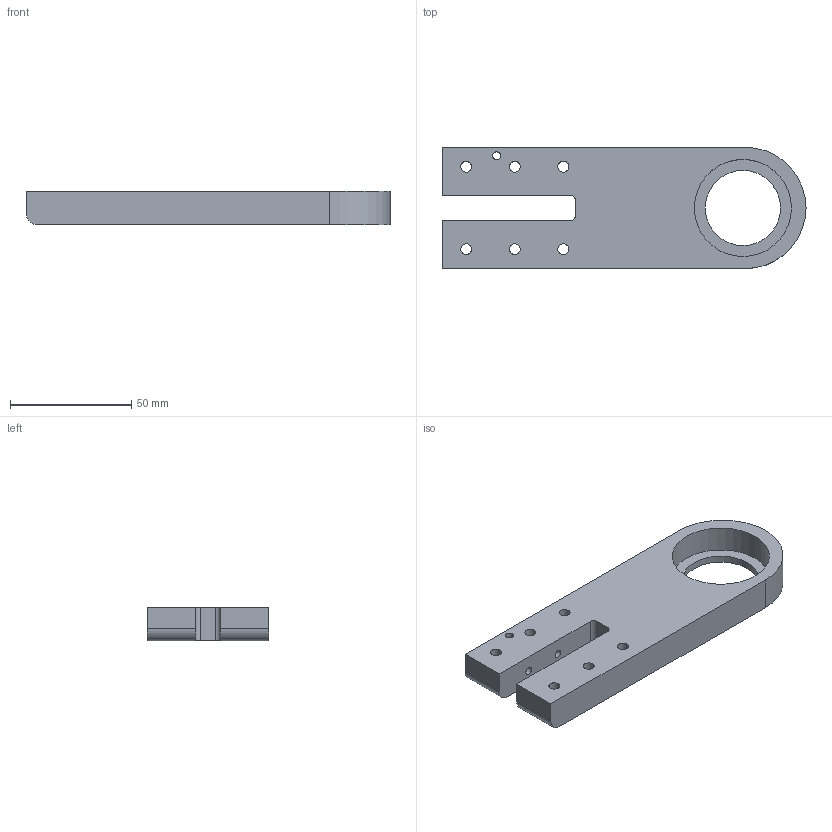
import cadquery as cq

length = 150.0
width = 50.0
thickness = 14.0
end_radius = width / 2
end_center_x = length - end_radius
bottom_edge_radius = 5.0

slot_length = 55.0
slot_width = 10.2
slot_corner_radius = 2.0

seat_center_x = 124.0
seat_diameter = 40.0
seat_bore_diameter = 31.0
seat_floor = 3.0

mount_diameter = 4.5
mount_first_x = 10.0
mount_pitch = 20.0
mount_columns = 3
mount_offset_y = 17.0

pin_diameter = 3.3
pin_x = 22.5
pin_y = 21.5

cross_diameter = 3.3
cross_positions_x = (17.2, 34.2)
cross_z = thickness / 2


def make_plate():
    outline = (
        cq.Workplane("XY")
        .moveTo(0, -width / 2)
        .lineTo(end_center_x, -width / 2)
        .threePointArc((length, 0), (end_center_x, width / 2))
        .lineTo(0, width / 2)
        .close()
    )
    plate = outline.extrude(thickness)
    return plate.faces("<X").edges("<Z").fillet(bottom_edge_radius)


def make_slot():
    slot = cq.Workplane("XY").box(slot_length, slot_width, thickness, centered=(False, True, False))
    return slot.edges("|Z and >X").fillet(slot_corner_radius)


def vertical_hole(x, y, diameter, bottom_z=0.0):
    hole = cq.Workplane("XY", origin=(x, y, bottom_z)).circle(diameter / 2)
    return hole.extrude(thickness - bottom_z)


def cross_hole(x):
    hole = cq.Workplane("XZ", origin=(x, 0, cross_z)).circle(cross_diameter / 2)
    return hole.extrude(-width / 2)


result = make_plate().cut(make_slot())

result = result.cut(vertical_hole(seat_center_x, 0, seat_bore_diameter))
result = result.cut(vertical_hole(seat_center_x, 0, seat_diameter, seat_floor))

for column in range(mount_columns):
    mount_x = mount_first_x + column * mount_pitch
    for mount_y in (-mount_offset_y, mount_offset_y):
        result = result.cut(vertical_hole(mount_x, mount_y, mount_diameter))

result = result.cut(vertical_hole(pin_x, pin_y, pin_diameter))

for cross_x in cross_positions_x:
    result = result.cut(cross_hole(cross_x))